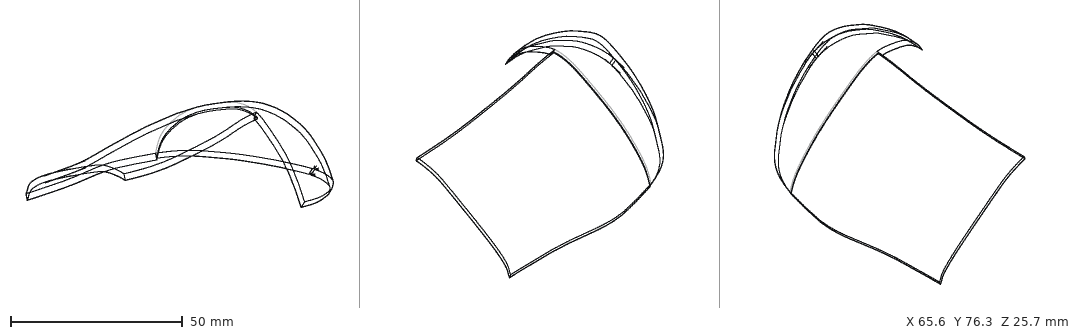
import math

import cadquery as cq


wall = 2.0
front_tilt = math.radians(15)
dome_tilt = math.radians(45)
front_sweep = cq.Vector(wall * math.sin(front_tilt), 0, -wall * math.cos(front_tilt))
dome_sweep = cq.Vector(0, -wall * math.sin(dome_tilt), -wall * math.cos(dome_tilt))

rim_z = -front_sweep.z
lobe_right = 20.25
front_y = -53.3
front_crest = 18.55
notch_crest = 25.69

front_arch = [
    (-41.25, rim_z),
    (-40.4, 4.1),
    (-38.6, 6.4),
    (-32.4, 10.0),
    (-21.4, 14.3),
    (-12.2, 17.6),
    (-6.7, front_crest),
    (0.0, 17.85),
    (6.1, 15.5),
    (9.8, 13.0),
    (13.5, 10.0),
    (17.2, 6.0),
    (lobe_right, rim_z),
]
notch_arch = [
    (-42.4, rim_z),
    (-41.2, 5.9),
    (-38.0, 10.9),
    (-30.6, 17.2),
    (-21.4, 21.7),
    (-12.2, 24.7),
    (-6.5, notch_crest),
    (0.0, 24.6),
    (6.1, 20.4),
    (9.8, 17.2),
    (13.5, 13.3),
    (17.2, 7.8),
    (lobe_right, rim_z),
]

stations = [
    (front_y, front_arch[0][0], lobe_right, front_crest),
    (-46.5, -41.6, lobe_right, 18.35),
    (-38.0, -42.1, lobe_right, 18.55),
    (-30.0, -43.2, lobe_right, 19.6),
    (-23.0, -44.5, lobe_right, 20.85),
    (-17.0, -45.15, lobe_right, 22.05),
    (-10.0, -44.6, lobe_right, 23.9),
    (-5.0, -43.6, lobe_right, 25.1),
    (0.0, notch_arch[0][0], lobe_right, notch_crest),
    (4.5, -40.7, 20.35, 25.25),
    (8.2, -38.3, 19.6, 24.1),
    (12.8, -32.5, 17.7, 21.35),
    (16.3, -26.4, 15.2, 18.2),
    (19.3, -18.7, 12.2, 14.1),
    (21.5, -10.8, 8.1, 8.7),
    (22.4, -6.0, 5.4, 5.7),
    (22.85, -3.0, 3.2, 3.6),
    (23.02, -0.5, 0.5, 2.1),
]

trim_size = 200.0
join_tolerance = 0.01


def unit_arch(arch):
    """The arch scaled to a span of 1 and a rise of 1."""
    left = arch[0][0]
    span = arch[-1][0] - left
    rise = max(z for _, z in arch) - rim_z
    return [((x - left) / span, (z - rim_z) / rise) for x, z in arch]


def front_share(y):
    """How far the arch takes the front shape: 1 at the front end, easing to 0 at the notch."""
    if y >= 0:
        return 0.0
    return (1 - math.cos(math.pi * y / front_y)) / 2


def arch_points(y, left, right, crest):
    """Points of the arch at Y, fitted between its rims and up to its crest."""
    share = front_share(y)
    points = []
    for (front_u, front_v), (notch_u, notch_v) in zip(unit_arch(front_arch), unit_arch(notch_arch)):
        u = notch_u + share * (front_u - notch_u)
        v = notch_v + share * (front_v - notch_v)
        points.append(cq.Vector(left + u * (right - left), y, rim_z + v * (crest - rim_z)))
    return points


def section_wire(station):
    """The arch of one station closed by a straight line between its rims."""
    points = arch_points(*station)
    last = len(points) - 1
    arch = cq.Edge.makeSpline(points, parameters=[i / last for i in range(last + 1)])
    base = cq.Edge.makeLine(points[-1], points[0])
    return cq.Wire.assembleEdges([arch, base])


def outer_skin():
    """The domed face of a solid lofted through all stations, which is its largest face."""
    dome = cq.Solid.makeLoft([section_wire(station) for station in stations])
    return max(dome.Faces(), key=lambda face: face.Area())


def front_left_space():
    """Box that fills the space left of and in front of the notch corner."""
    box = cq.Solid.makeBox(trim_size, trim_size, trim_size)
    return box.translate(cq.Vector(-trim_size, -trim_size, -trim_size / 2))


def back_space():
    """Box that fills the space behind the notch."""
    box = cq.Solid.makeBox(trim_size, trim_size, trim_size)
    return box.translate(cq.Vector(-trim_size / 2, 0, -trim_size / 2))


def swept_wall(skin, space, sweep):
    """Wall made by sweeping the part of the skin that lies in a space."""
    return cq.Solid.extrudeLinear(skin.intersect(space).Faces()[0], sweep)


skin = outer_skin()
front_wall = swept_wall(skin, front_left_space(), front_sweep)
dome_wall = swept_wall(skin, back_space(), dome_sweep)

dome_wall = dome_wall.cut(front_left_space())

result = cq.Workplane(front_wall).union(cq.Workplane(dome_wall), tol=join_tolerance)